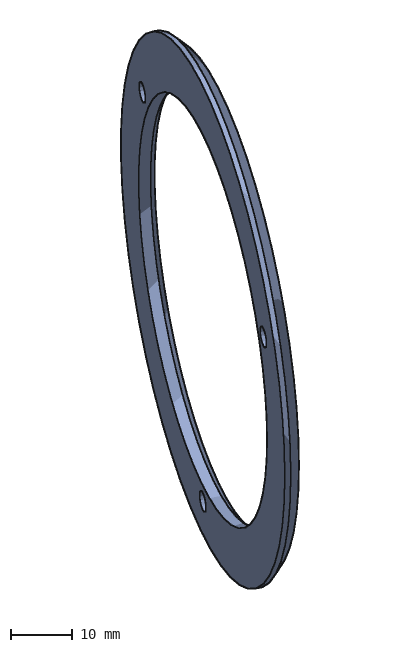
import cadquery as cq

outer_diameter = 92.0
inner_diameter = 71.9
thickness = 3.0
rim_chamfer = 2.0
bore_chamfer = 1.0

hole_count = 3
hole_diameter = 3.5
hole_circle_radius = 39.2
first_hole_angle = -90.0

disc = (
    cq.Workplane("XZ")
    .circle(outer_diameter / 2)
    .extrude(thickness)
)

disc = disc.faces(">Y").edges().chamfer(rim_chamfer)

bore = (
    cq.Workplane("XZ")
    .circle(inner_diameter / 2)
    .extrude(thickness)
)
ring = disc.cut(bore)
ring = ring.faces(">Y").edges(cq.selectors.RadiusNthSelector(0)).chamfer(bore_chamfer)

mounting_holes = (
    cq.Workplane("XZ")
    .polarArray(hole_circle_radius, first_hole_angle, 360, hole_count)
    .circle(hole_diameter / 2)
    .extrude(thickness)
)

result = ring.cut(mounting_holes)